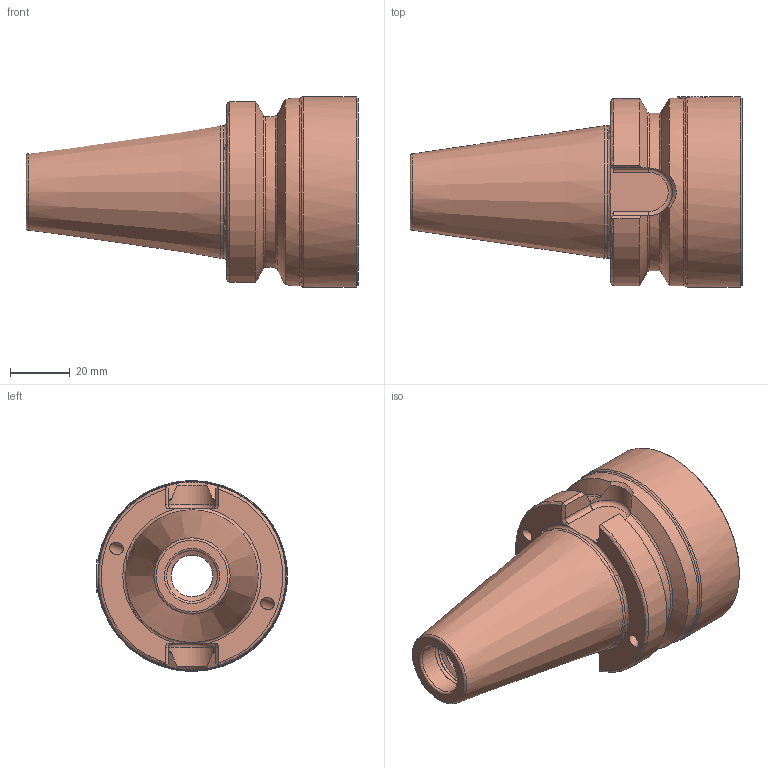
import cadquery as cq
import math


gauge_x = 65.4
gauge_radius = 22.225
taper_slope = 7 / 48
tip_radius = gauge_radius - gauge_x * taper_slope
tip_fillet = 0.8

flange_face_x = gauge_x + 2.0
flange_radius = 31.5
flange_edge_fillet = 1.0
neck_fillet = 1.0

groove_center_x = gauge_x + 16.6
groove_half_width = 5.0
groove_floor_radius = 26.5
groove_wall_tilt = 30.0
groove_wall_run = (flange_radius - groove_floor_radius) * math.tan(math.radians(groove_wall_tilt))
groove_floor_half_width = groove_half_width - groove_wall_run
groove_fillet = 0.8

total_length = 111.4
nose_radius = 32.0
nose_step_x = 92.4
nose_step_fillet = 1.0
nose_edge_chamfer = 0.6

bore_radius = 7.0
mouth_radius = 8.5
mouth_depth = 9.4
mouth_fillet = 0.75
mouth_cone_angle = 60.0
mouth_groove_start = 7.0
mouth_groove_width = 1.5
mouth_groove_depth = 0.3

slot_half_width = 8.05
slot_floor_z = 22.5
slot_center_x = 80.1
slot_floor_fillet = 1.5
slot_edge_chamfer = 0.9
slot_end_bevel = 1.2
bevel_angle = 45.0

coolant_circle_radius = 27.0
coolant_angle = 20.0
coolant_tilt = 30.0
coolant_diameter = 4.0

screw_radius = 5.7
screw_center_x = total_length - 16.0
screw_length = 14.0


def ring_edges(first_x, last_x):
    """Selector for the circular edges around the X axis between two X positions."""
    margin = 0.1
    return cq.selectors.BoxSelector(
        (first_x - margin, -margin, -margin),
        (last_x + margin, margin, margin),
    )


def make_blank():
    """Turned outer shape, with the S-shaped step up to the nose."""
    step_rise = (nose_radius - flange_radius) / 2
    step_half_width = math.sqrt(2 * nose_step_fillet * step_rise - step_rise**2)
    profile = (
        cq.Workplane("XY")
        .lineTo(0, tip_radius)
        .lineTo(gauge_x, gauge_radius)
        .lineTo(flange_face_x - neck_fillet, gauge_radius)
        .radiusArc((flange_face_x, gauge_radius + neck_fillet), -neck_fillet)
        .lineTo(flange_face_x, flange_radius - flange_edge_fillet)
        .radiusArc((flange_face_x + flange_edge_fillet, flange_radius), flange_edge_fillet)
        .lineTo(groove_center_x - groove_half_width, flange_radius)
        .lineTo(groove_center_x - groove_floor_half_width, groove_floor_radius)
        .lineTo(groove_center_x + groove_floor_half_width, groove_floor_radius)
        .lineTo(groove_center_x + groove_half_width, flange_radius)
        .lineTo(nose_step_x - step_half_width, flange_radius)
        .radiusArc((nose_step_x, flange_radius + step_rise), -nose_step_fillet)
        .radiusArc((nose_step_x + step_half_width, nose_radius), nose_step_fillet)
        .lineTo(total_length - nose_edge_chamfer, nose_radius)
        .lineTo(total_length, nose_radius - nose_edge_chamfer)
        .lineTo(total_length, 0)
        .close()
    )
    blank = profile.revolve(360, (0, 0, 0), (1, 0, 0))
    blank = blank.edges(ring_edges(0, 0)).fillet(tip_fillet)
    groove_floor = ring_edges(
        groove_center_x - groove_floor_half_width,
        groove_center_x + groove_floor_half_width,
    )
    return blank.edges(groove_floor).fillet(groove_fillet)


def make_bore():
    """Central bore with a wider grooved mouth at the small end of the taper."""
    cone_length = (mouth_radius - bore_radius) / math.tan(math.radians(mouth_cone_angle))
    groove_end = mouth_groove_start + mouth_groove_width
    groove_radius = mouth_radius + mouth_groove_depth
    return (
        cq.Workplane("XY")
        .lineTo(0, mouth_radius + mouth_fillet)
        .radiusArc((mouth_fillet, mouth_radius), -mouth_fillet)
        .lineTo(mouth_groove_start, mouth_radius)
        .lineTo(mouth_groove_start, groove_radius)
        .lineTo(groove_end, groove_radius)
        .lineTo(groove_end, mouth_radius)
        .lineTo(mouth_depth, mouth_radius)
        .lineTo(mouth_depth + cone_length, bore_radius)
        .lineTo(total_length, bore_radius)
        .lineTo(total_length, 0)
        .close()
        .revolve(360, (0, 0, 0), (1, 0, 0))
    )


def make_slot():
    """Drive slot at +Z: flat floor, round end and filleted floor edge, open at the flange face."""
    start_x = flange_face_x - slot_half_width / 2
    return (
        cq.Workplane("XY", origin=(0, 0, slot_floor_z))
        .moveTo(start_x, -slot_half_width)
        .lineTo(slot_center_x, -slot_half_width)
        .threePointArc((slot_center_x + slot_half_width, 0), (slot_center_x, slot_half_width))
        .lineTo(start_x, slot_half_width)
        .close()
        .extrude(nose_radius)
        .faces("<Z")
        .edges("not <X")
        .fillet(slot_floor_fillet)
    )


def make_slot_front_bevel():
    """Bevel between the slot walls and the flange face; the flat floor keeps a sharp end."""
    opening_half_width = slot_half_width + slot_edge_chamfer
    corner_radius = slot_floor_fillet + slot_edge_chamfer
    height = 2 * (nose_radius - slot_floor_z)
    tapered = (
        cq.Workplane("YZ", origin=(flange_face_x, 0, slot_floor_z - slot_edge_chamfer + height / 2))
        .sketch()
        .rect(2 * opening_half_width, height)
        .vertices()
        .fillet(corner_radius)
        .finalize()
        .extrude(slot_edge_chamfer, taper=bevel_angle)
    )
    above_floor = (
        cq.Workplane("XY", origin=(flange_face_x, 0, slot_floor_z))
        .rect(4 * slot_edge_chamfer, 4 * opening_half_width)
        .extrude(height)
    )
    return tapered.intersect(above_floor)


def make_slot_land_bevel():
    """Bevel between the straight slot walls and the outside of the flange."""
    opening_half_width = slot_half_width + slot_edge_chamfer
    edge_z = math.sqrt(flange_radius**2 - opening_half_width**2)
    extra_height = 2.0
    return (
        cq.Workplane("YZ", origin=(flange_face_x, 0, 0))
        .moveTo(-slot_half_width, edge_z - slot_edge_chamfer)
        .lineTo(slot_half_width, edge_z - slot_edge_chamfer)
        .lineTo(opening_half_width + extra_height, edge_z + extra_height)
        .lineTo(-opening_half_width - extra_height, edge_z + extra_height)
        .close()
        .extrude(slot_center_x - flange_face_x)
    )


def make_slot_end_bevel():
    """Conical bevel around the round end of the slot."""
    cone_base_z = flange_radius - slot_end_bevel
    cone = cq.Solid.makeCone(
        slot_half_width,
        slot_half_width + slot_end_bevel,
        slot_end_bevel,
        pnt=(slot_center_x, 0, cone_base_z),
    )
    return cq.Workplane(cone)


def make_coolant_hole():
    """Hole from the flange face, leaning inwards until it meets the central bore."""
    tilt = math.radians(coolant_tilt)
    direction = cq.Vector(math.cos(tilt), -math.sin(tilt), 0)
    entry = cq.Vector(flange_face_x, coolant_circle_radius, 0)
    lead = coolant_diameter
    end_radius = bore_radius / 2
    length = (coolant_circle_radius - end_radius) / math.sin(tilt)
    hole = cq.Solid.makeCylinder(coolant_diameter / 2, length + lead, entry - direction * lead, direction)
    return cq.Workplane(hole)


def about_x(shape, angle):
    """Shape turned around the X axis."""
    return shape.rotate((0, 0, 0), (1, 0, 0), angle)


def make_screw():
    """Flat-ended screw whose outer end is level with the nose diameter."""
    return (
        cq.Workplane("XZ", origin=(screw_center_x, nose_radius, 0))
        .circle(screw_radius)
        .extrude(screw_length)
    )


screw = make_screw()

holder = make_blank().cut(make_bore())
for side_angle in (0, 180):
    holder = holder.cut(about_x(make_slot(), side_angle))
    holder = holder.cut(about_x(make_slot_front_bevel(), side_angle))
    holder = holder.cut(about_x(make_slot_land_bevel(), side_angle))
    holder = holder.cut(about_x(make_slot_end_bevel(), side_angle))
    holder = holder.cut(about_x(make_coolant_hole(), side_angle + coolant_angle))
holder = holder.cut(screw)

result = cq.Compound.makeCompound([holder.val(), screw.val()])